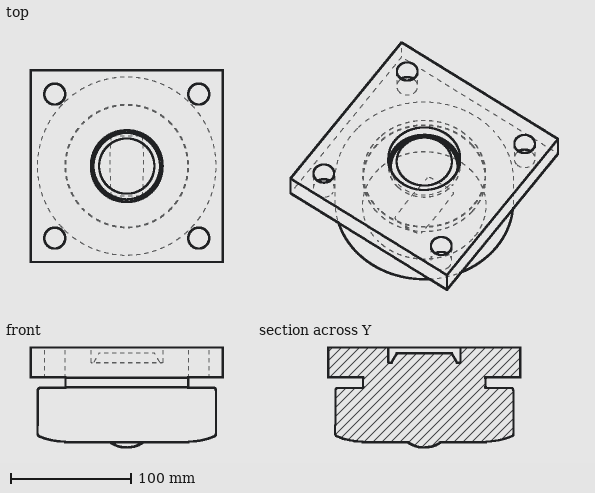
import cadquery as cq

plate_side = 160.0
plate_thickness = 25.0
bolt_spacing = 120.0
bolt_hole_diameter = 17.3

recess_diameter = 60.0
recess_depth = 12.8
recess_floor_chamfer = 0.5
stub_base_diameter = 55.4
stub_top_diameter = 46.0
stub_top_depth = 4.8

neck_diameter = 102.5
neck_chamfer = 0.5
wheel_diameter = 148.8
wheel_top_depth = 33.5
wheel_edge_radius = 2.4
wheel_bottom_depth = 78.5
bottom_disc_height = 0.5
wheel_bottom_diameter = 103.0
underside_radius = 54.4

overall_height = 83.5
side_roller_radius = 24.0
side_roller_crown = 0.5
side_roller_length = 50.0
side_roller_edge_radius = 2.0


def make_plate():
    """Square plate with four through bolt holes and the central blind recess."""
    plate = cq.Workplane("XY").rect(plate_side, plate_side).extrude(-plate_thickness)
    bolts = (
        cq.Workplane("XY")
        .rect(bolt_spacing, bolt_spacing, forConstruction=True)
        .vertices()
        .circle(bolt_hole_diameter / 2)
        .extrude(-plate_thickness)
    )
    recess = cq.Workplane("XY").circle(recess_diameter / 2).extrude(-recess_depth)
    recess = recess.faces("<Z").chamfer(recess_floor_chamfer)
    return plate.cut(bolts).cut(recess)


def make_axle_stub():
    """Truncated cone rising from the recess floor."""
    return (
        cq.Workplane("XY", origin=(0, 0, -recess_depth))
        .circle(stub_base_diameter / 2)
        .workplane(offset=recess_depth - stub_top_depth)
        .circle(stub_top_diameter / 2)
        .loft()
    )


def make_neck():
    """Round spacer between the plate and the wheel."""
    return (
        cq.Workplane("XY", origin=(0, 0, -plate_thickness))
        .circle(neck_diameter / 2)
        .extrude(plate_thickness - wheel_top_depth)
        .faces("|Z")
        .chamfer(neck_chamfer)
    )


def underside_point(radius):
    """Profile point on the arc that starts level at the rim of the bottom disc."""
    run = radius - wheel_bottom_diameter / 2
    rise = underside_radius - (underside_radius**2 - run**2) ** 0.5
    return (radius, rise - wheel_bottom_depth)


def make_wheel():
    """Turned wheel with rounded rim edges, a curved underside and a thin flat bottom disc."""
    flat_radius = wheel_bottom_diameter / 2
    rim_radius = wheel_diameter / 2
    rim_corner = underside_point(rim_radius)
    arc_middle = underside_point((flat_radius + rim_radius) / 2)
    wheel = (
        cq.Workplane("XZ")
        .moveTo(0, -wheel_top_depth)
        .lineTo(rim_radius, -wheel_top_depth)
        .lineTo(*rim_corner)
        .threePointArc(arc_middle, (flat_radius, -wheel_bottom_depth))
        .lineTo(0, -wheel_bottom_depth)
        .close()
        .revolve(360, (0, 0, 0), (0, 1, 0))
    )
    rim_edges = cq.selectors.RadiusNthSelector(-1)
    wheel = wheel.edges("%CIRCLE").edges(rim_edges).fillet(wheel_edge_radius)
    disc = (
        cq.Workplane("XY", origin=(0, 0, -wheel_bottom_depth))
        .circle(flat_radius)
        .extrude(-bottom_disc_height)
    )
    return wheel.union(disc)


def make_side_roller():
    """Slightly barrel-shaped transverse roller whose lowest point sets the overall height."""
    half_length = side_roller_length / 2
    end_radius = side_roller_radius - side_roller_crown
    return (
        cq.Workplane("YZ")
        .moveTo(-half_length, 0)
        .lineTo(-half_length, end_radius)
        .threePointArc((0, side_roller_radius), (half_length, end_radius))
        .lineTo(half_length, 0)
        .close()
        .revolve(360, (0, 0, 0), (1, 0, 0))
        .faces("|Y")
        .edges()
        .fillet(side_roller_edge_radius)
        .translate((0, 0, side_roller_radius - overall_height))
    )


result = (
    make_plate()
    .union(make_axle_stub())
    .union(make_neck())
    .union(make_wheel())
    .union(make_side_roller())
)